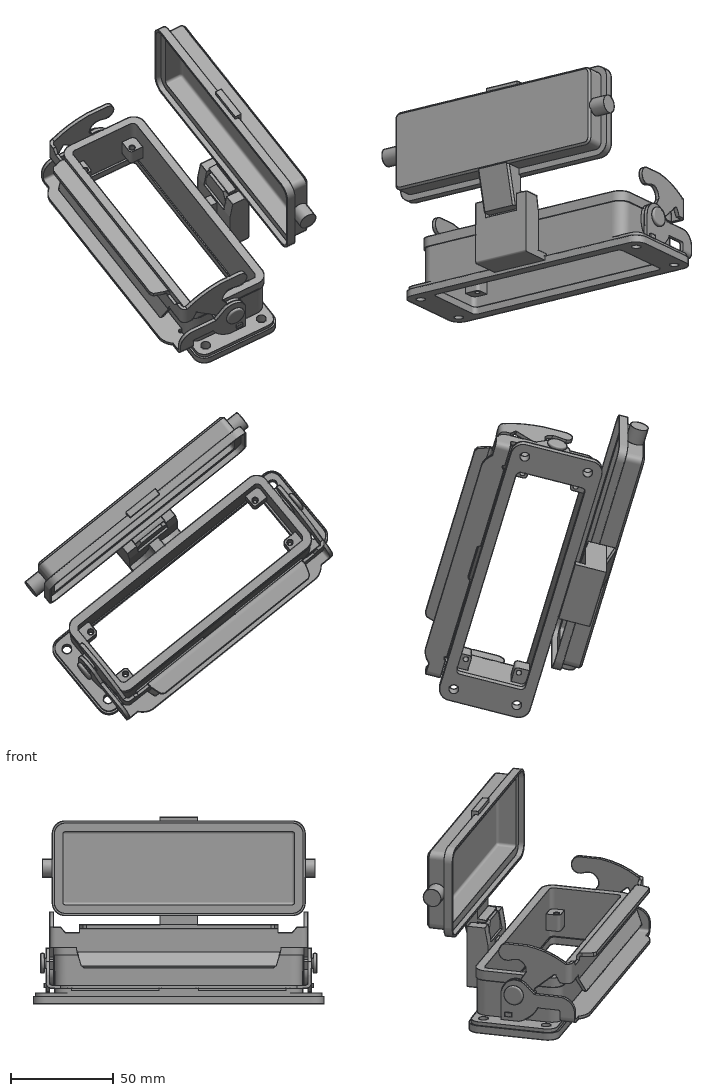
import cadquery as cq
import math


BASE_X = 142.5
BASE_Y = 45.9
BASE_CORNER = 6.0
BASE_TOP = 3.7
STEP_TOP = 5.5
STEP_INSET = 0.95
MOUNT_HOLE_DIA = 4.7
MOUNT_X = 64.9
MOUNT_Y = 16.0

BODY_X = 121.6
BODY_Y = 44.0
WALL_CORNER = 6.0
BODY_TOP = 29.0
COLLAR_BOTTOM = 23.9
COLLAR_OUTSET = 0.5
CAVITY_X = 114.8
CAVITY_Y = 36.3
CAVITY_CORNER = 2.3
FLOOR_OPENING_X = 112.6
FLOOR_OPENING_Y = 34.9

BOSS_INNER_X = 49.5
BOSS_INNER_Y = 11.0
BOSS_BOTTOM = 9.5
BOSS_TOP = 18.0
BOSS_CORNER = 1.6
SCREW_X = 51.9
SCREW_Y = 13.5
SCREW_DIA = 2.6
SCREW_MOUTH = 0.25

PIVOT_Z = 20.0
LUG_DIA = 8.0
PIN_NECK_DIA = 5.0
PIN_HEAD_DIA = 9.8
PIN_HEAD_INNER = 65.8
PIN_HEAD_OUTER = 67.7
PIN_HEAD_ROUND = 0.8

COLLAR_SIDE = BODY_X / 2 + COLLAR_OUTSET
UPPER_THICKNESS = 1.9
LEVER_JOINT = COLLAR_SIDE + UPPER_THICKNESS
HOOK_REACH = 8.75
HOOK_TOP = 45.1
UPPER_BEND = 3.0
BAND_FRONT = -28.2
BAND_THICKNESS = 1.55
BAND_BOTTOM = 27.6
BAND_TOP = 37.7
BAND_NOTCH_Z = 35.0
NOTCH_HALF = 57.9
NOTCH_SLOPE = 2.3
LIP_HALF = 48.7
LIP_FRONT = -35.95
LIP_BEND = 2.8
LIP_TOP = 38.85
LIP_BOTTOM = 36.9
FLAP_HALF = 50.2
FLAP_BEND_Z = 25.4
FLAP_REACH = -31.45
FLAP_BOTTOM = 17.7

LOWER_OUTER = 65.0
LOWER_THICKNESS = LOWER_OUTER - LEVER_JOINT
LOWER_BEND = 2.8
LEG_FRONT = -30.5
LEG_BACK = -23.15
HANDLE_FRONT = -34.2
HANDLE_HALF = 51.5
HANDLE_SHOULDER = 57.9
HANDLE_BOTTOM = 7.6
HANDLE_THICKNESS = 1.5
PIVOT_PLATE_RADIUS = 7.0
PIVOT_PLATE_BOTTOM = 5.9
LEVER_ARM_TOP = 20.8
LEVER_ARM_BOTTOM = 14.0
KNEE_TOP = 12.0
RIB_X = 105.0
RIB_BOTTOM = 6.6
RELIEF_X = 53.3
RELIEF_DIA = 2.2
SLOT_HALF = 9.7
SLOT_FRONT = -24.5
SLOT_CORNER = 1.2
NUB_Y = 3.15
NUB_Z = 9.1
NUB_LENGTH = 3.5
NUB_HEIGHT = 2.1
NUB_OUT = 0.9

COVER_Z = 66.5
COVER_FRONT = 32.9
COVER_STEP_Y = 37.15
COVER_BACK = 46.78
RIM_X = 124.0
RIM_Z = 46.4
RIM_CORNER = 6.3
RIM_LIP = 1.1
RIM_RECESS = 2.8
SHELL_X = 117.4
SHELL_Z = 40.2
SHELL_CORNER = 3.2
SHELL_BACK_CHAMFER = 1.05
COVER_CAVITY_X = 113.6
COVER_CAVITY_Z = 36.1
COVER_CAVITY_CORNER = 1.5
COVER_FLOOR = 45.4
COVER_FLOOR_ROUND = 1.4
TAB_WIDTH = 18.6
TAB_FRONT = 35.2
TAB_BACK = 38.6
TOTAL_HEIGHT = 91.5
COVER_PIN_DIA = 9.0
COVER_PIN_X = 66.8
COVER_PIN_Y = 41.75

HINGE_WIDTH = 30.2
HINGE_BACK = 39.4
HINGE_FRONT = 28.6
CHEEK_FRONT = 30.2
HINGE_TOP = 33.0
HINGE_BOTTOM = 1.35
HINGE_ROUND = 0.8
CHANNEL_FLOOR = 23.9
FOOT_TOP = 5.0
FOOT_FRONT = 23.5
NECK_WIDTH = 5.8
NECK_TOP = 22.6
NECK_FLARE = 8.2
ARM_WIDTH = TAB_WIDTH
ARM_BACK_CHAMFER = 1.0
ARM_FRONT = 35.75
ARM_TOP_Z = 47.5
ARM_FOOT_Z = 26.2
TONGUE_FRONT = 31.4
TONGUE_BACK = ARM_FRONT + 0.2
TONGUE_TOP = 35.1
TONGUE_BOTTOM = 33.5
PANEL_FRONT = 29.8
PANEL_TOP = 34.2
PANEL_TOP_WIDTH = 13.2
PANEL_TAPER_Z = 28.5


def box(x0, x1, y0, y1, z0, z1):
    return cq.Workplane("XY").box(x1 - x0, y1 - y0, z1 - z0, centered=False).translate((x0, y0, z0))


def rounded_block(size_x, size_y, corner, z0, z1):
    block = cq.Workplane("XY").workplane(offset=z0).rect(size_x, size_y).extrude(z1 - z0)
    return block.edges("|Z").fillet(corner)


def upright_block(size_x, size_z, corner, y0, y1):
    """Block centred on the cover, rounded in the XZ plane, from y0 to y1."""
    block = box(-size_x / 2, size_x / 2, y0, y1, COVER_Z - size_z / 2, COVER_Z + size_z / 2)
    return block.edges("|Y").fillet(corner)


def side_plane(x):
    """Sketch plane whose local axes are Y and Z."""
    return cq.Workplane("YZ").workplane(offset=x)


def x_cylinder(diameter, y, z, x0, x1):
    return side_plane(x0).center(y, z).circle(diameter / 2).extrude(x1 - x0)


def both_sides(shape):
    return shape.union(shape.mirror("YZ"))


def mirrored_outline(workplane, half):
    """Closed outline from its right half, mirrored about the local vertical axis."""
    left = [(-x, y) for x, y in reversed(half)]
    return workplane.polyline(half + left).close()


def housing():
    body = rounded_block(BASE_X, BASE_Y, BASE_CORNER, 0, BASE_TOP)
    step = rounded_block(
        BASE_X - 2 * STEP_INSET, BASE_Y - 2 * STEP_INSET, BASE_CORNER - STEP_INSET, BASE_TOP, STEP_TOP
    )
    walls = rounded_block(BODY_X, BODY_Y, WALL_CORNER, BASE_TOP, BODY_TOP)
    collar = rounded_block(
        BODY_X + 2 * COLLAR_OUTSET, BODY_Y + 2 * COLLAR_OUTSET, WALL_CORNER, COLLAR_BOTTOM, BODY_TOP
    )
    body = body.union(step).union(walls).union(collar)
    body = body.cut(rounded_block(CAVITY_X, CAVITY_Y, CAVITY_CORNER, BASE_TOP, BODY_TOP))
    body = body.cut(rounded_block(FLOOR_OPENING_X, FLOOR_OPENING_Y, CAVITY_CORNER, 0, BASE_TOP))
    mount_holes = (
        cq.Workplane("XY")
        .rect(2 * MOUNT_X, 2 * MOUNT_Y, forConstruction=True)
        .vertices()
        .circle(MOUNT_HOLE_DIA / 2)
        .extrude(STEP_TOP)
    )
    return body.cut(mount_holes).union(insert_bosses())


def insert_bosses():
    frame = rounded_block(CAVITY_X, CAVITY_Y, CAVITY_CORNER, BOSS_BOTTOM, BOSS_TOP)
    boss = box(BOSS_INNER_X, CAVITY_X / 2, BOSS_INNER_Y, CAVITY_Y / 2, BOSS_BOTTOM, BOSS_TOP)
    boss = boss.edges("|Z and <X and <Y").fillet(BOSS_CORNER).intersect(frame)
    hole = cq.Workplane("XY").workplane(offset=BOSS_BOTTOM).center(SCREW_X, SCREW_Y)
    boss = boss.cut(hole.circle(SCREW_DIA / 2).extrude(BOSS_TOP - BOSS_BOTTOM))
    mouth = cq.Workplane("XY").workplane(offset=BOSS_TOP - SCREW_MOUTH).center(SCREW_X, SCREW_Y)
    boss = boss.cut(mouth.circle(SCREW_DIA / 2 + SCREW_MOUTH).extrude(SCREW_MOUTH))
    pair = both_sides(boss)
    return pair.union(pair.mirror("XZ"))


def pivot_pin():
    head = x_cylinder(PIN_HEAD_DIA, 0, PIVOT_Z, PIN_HEAD_INNER, PIN_HEAD_OUTER).edges().fillet(PIN_HEAD_ROUND)
    lug = x_cylinder(LUG_DIA, 0, PIVOT_Z, BODY_X / 2, LEVER_JOINT)
    neck = x_cylinder(PIN_NECK_DIA, 0, PIVOT_Z, LEVER_JOINT, PIN_HEAD_INNER)
    return lug.union(neck).union(head)


def upper_lever():
    side = (
        side_plane(-LEVER_JOINT)
        .moveTo(-2.9, 26.4)
        .lineTo(-2.9, 28.0)
        .lineTo(-5.15, 31.25)
        .threePointArc((-4.3, 35.4), (-1.4, 37.5))
        .lineTo(0.85, 37.5)
        .lineTo(3.75, 36.6)
        .lineTo(5.65, 36.6)
        .threePointArc((HOOK_REACH, 40.6), (5.35, HOOK_TOP))
        .lineTo(-5.9, HOOK_TOP)
        .threePointArc((-16.2, 42.5), (-25.5, BAND_TOP))
        .lineTo(BAND_FRONT, BAND_TOP)
        .lineTo(BAND_FRONT, BAND_BOTTOM)
        .lineTo(-22.6, BAND_BOTTOM)
        .lineTo(-20.3, 31.6)
        .lineTo(-19.7, 31.6)
        .lineTo(-9.5, 23.0)
        .lineTo(-9.2, 21.9)
        .lineTo(-10.1, LEVER_ARM_TOP)
        .lineTo(-8.0, 17.0)
        .threePointArc((-0.6, 9.2), (6.9, 17.0))
        .lineTo(6.9, PIVOT_Z)
        .threePointArc((3.0, 26.2), (-2.9, 26.4))
        .close()
        .extrude(2 * LEVER_JOINT)
    )
    outer = box(-LEVER_JOINT, LEVER_JOINT, BAND_FRONT, HOOK_REACH, 0, HOOK_TOP)
    outer = outer.edges("|Z and <Y").fillet(UPPER_BEND)
    inner = box(-COLLAR_SIDE, COLLAR_SIDE, BAND_FRONT + BAND_THICKNESS, HOOK_REACH, 0, HOOK_TOP)
    inner = inner.edges("|Z and <Y").fillet(UPPER_BEND - BAND_THICKNESS)
    strap = side.intersect(outer.cut(inner))
    return strap.cut(band_notch()).union(band_lip()).union(band_flap())


def band_notch():
    """Trims the top of the cross band between the two end tabs."""
    top = LIP_TOP + 1
    half = [(NOTCH_HALF, top), (NOTCH_HALF, BAND_TOP), (NOTCH_HALF - NOTCH_SLOPE, BAND_NOTCH_Z)]
    plane = cq.Workplane("XZ", origin=(0, BAND_FRONT + 2 * BAND_THICKNESS, 0))
    return mirrored_outline(plane, half).extrude(2 * BAND_THICKNESS)


def band_lip():
    """Finger lip bent outward from the top of the cross band."""
    back = BAND_FRONT + BAND_THICKNESS
    bend_mid = LIP_BEND * (1 - math.sqrt(0.5))
    strip = (
        side_plane(-LIP_HALF)
        .moveTo(back, BAND_NOTCH_Z)
        .lineTo(back, LIP_TOP - LIP_BEND)
        .threePointArc((back - bend_mid, LIP_TOP - bend_mid), (back - LIP_BEND, LIP_TOP))
        .lineTo(LIP_FRONT, LIP_TOP)
        .lineTo(LIP_FRONT, LIP_BOTTOM)
        .lineTo(back - LIP_BEND, LIP_BOTTOM)
        .threePointArc((BAND_FRONT - 0.2, LIP_BOTTOM - 0.2), (BAND_FRONT, LIP_BOTTOM - 0.7))
        .lineTo(BAND_FRONT, BAND_NOTCH_Z)
        .close()
        .extrude(2 * LIP_HALF)
    )
    half = [(LIP_HALF, back), (LIP_HALF, back - LIP_BEND), (46.9, -34.9), (45.2, LIP_FRONT)]
    plan = mirrored_outline(cq.Workplane("XY").workplane(offset=BAND_NOTCH_Z), half)
    return strip.intersect(plan.extrude(LIP_TOP - BAND_NOTCH_Z))


def band_flap():
    """Flap hanging from the cross band and leaning outward."""
    back = BAND_FRONT + BAND_THICKNESS
    strip = (
        side_plane(-FLAP_HALF)
        .polyline(
            [
                (back, BAND_BOTTOM),
                (BAND_FRONT, BAND_BOTTOM),
                (BAND_FRONT, FLAP_BEND_Z),
                (FLAP_REACH, FLAP_BOTTOM + 0.8),
                (FLAP_REACH + 1.15, FLAP_BOTTOM),
                (back, FLAP_BEND_Z - 0.4),
            ]
        )
        .close()
        .extrude(2 * FLAP_HALF)
    )
    half = [(FLAP_HALF, BAND_BOTTOM), (49.8, FLAP_BEND_Z), (47.8, 18.8), (46.3, FLAP_BOTTOM)]
    front = mirrored_outline(cq.Workplane("XZ", origin=(0, back, 0)), half)
    return strip.intersect(front.extrude(back - FLAP_REACH))


def lower_lever():
    return both_sides(lower_side_plate()).union(lower_bends()).union(handle()).cut(handle_cutouts())


def lower_side_plate():
    radius = PIVOT_PLATE_RADIUS
    plate = (
        side_plane(LEVER_JOINT)
        .moveTo(radius, PIVOT_PLATE_BOTTOM)
        .lineTo(radius, PIVOT_Z)
        .threePointArc((2.0, PIVOT_Z + 6.9), (-4.7, 26.0))
        .lineTo(-10.1, LEVER_ARM_TOP)
        .lineTo(-23.3, LEVER_ARM_TOP)
        .threePointArc((-28.6, 18.3), (LEG_FRONT, LEVER_ARM_BOTTOM))
        .lineTo(LEG_FRONT, KNEE_TOP)
        .lineTo(LEG_BACK, KNEE_TOP)
        .lineTo(LEG_BACK, LEVER_ARM_BOTTOM - 1)
        .threePointArc((LEG_BACK + 0.3, LEVER_ARM_BOTTOM - 0.3), (LEG_BACK + 1, LEVER_ARM_BOTTOM))
        .lineTo(-11.7, LEVER_ARM_BOTTOM)
        .threePointArc((-7.8, 8.9), (-2.0, PIVOT_PLATE_BOTTOM))
        .close()
        .extrude(LOWER_THICKNESS)
    )
    nub = box(
        LOWER_OUTER,
        LOWER_OUTER + NUB_OUT,
        NUB_Y - NUB_LENGTH / 2,
        NUB_Y + NUB_LENGTH / 2,
        NUB_Z - NUB_HEIGHT / 2,
        NUB_Z + NUB_HEIGHT / 2,
    )
    return plate.union(nub)


def lower_bends():
    """U-shaped strip that turns the side plates into the handle."""
    outer = box(-LOWER_OUTER, LOWER_OUTER, LEG_FRONT, LEG_BACK, HANDLE_BOTTOM, KNEE_TOP)
    outer = outer.edges("|Y and <Z").fillet(LOWER_BEND)
    inner_z = HANDLE_BOTTOM + HANDLE_THICKNESS
    inner = box(-LEVER_JOINT, LEVER_JOINT, LEG_FRONT, LEG_BACK, inner_z, KNEE_TOP)
    return outer.cut(inner.edges("|Y and <Z").fillet(LOWER_BEND - HANDLE_THICKNESS))


def handle():
    side = LOWER_OUTER - LOWER_BEND
    plate = (
        cq.Workplane("XY")
        .workplane(offset=HANDLE_BOTTOM)
        .moveTo(side, LEG_BACK)
        .lineTo(side, LEG_FRONT)
        .lineTo(HANDLE_SHOULDER, LEG_FRONT)
        .threePointArc((55.2, -32.9), (HANDLE_HALF, HANDLE_FRONT))
        .lineTo(-HANDLE_HALF, HANDLE_FRONT)
        .threePointArc((-55.2, -32.9), (-HANDLE_SHOULDER, LEG_FRONT))
        .lineTo(-side, LEG_FRONT)
        .lineTo(-side, LEG_BACK)
        .close()
        .extrude(HANDLE_THICKNESS)
    )
    rib = box(-RIB_X / 2, RIB_X / 2, LEG_BACK, -BODY_Y / 2, RIB_BOTTOM, HANDLE_BOTTOM + HANDLE_THICKNESS)
    return plate.union(rib)


def handle_cutouts():
    """Central slot and two small relief holes along the back edge of the handle."""
    wall = -BODY_Y / 2
    top = HANDLE_BOTTOM + HANDLE_THICKNESS
    slot_half = [
        (SLOT_HALF, wall),
        (SLOT_HALF, SLOT_FRONT + SLOT_CORNER),
        (SLOT_HALF - SLOT_CORNER, SLOT_FRONT),
    ]
    slot = mirrored_outline(cq.Workplane("XY").workplane(offset=RIB_BOTTOM), slot_half)
    slot = slot.extrude(top - RIB_BOTTOM)
    relief = (
        cq.Workplane("XY")
        .workplane(offset=HANDLE_BOTTOM)
        .pushPoints([(RELIEF_X, LEG_BACK), (-RELIEF_X, LEG_BACK)])
        .circle(RELIEF_DIA / 2)
        .extrude(HANDLE_THICKNESS)
    )
    return slot.union(relief)


def cover():
    rim = upright_block(RIM_X, RIM_Z, RIM_CORNER, COVER_FRONT, COVER_STEP_Y)
    shell = upright_block(SHELL_X, SHELL_Z, SHELL_CORNER, COVER_STEP_Y, COVER_BACK)
    shell = shell.faces(">Y").chamfer(SHELL_BACK_CHAMFER)
    recess_floor = COVER_FRONT + RIM_RECESS
    recess = upright_block(
        RIM_X - 2 * RIM_LIP, RIM_Z - 2 * RIM_LIP, RIM_CORNER - RIM_LIP, COVER_FRONT, recess_floor
    )
    cavity = upright_block(COVER_CAVITY_X, COVER_CAVITY_Z, COVER_CAVITY_CORNER, recess_floor, COVER_FLOOR)
    cavity = cavity.faces(">Y").edges().fillet(COVER_FLOOR_ROUND)
    shell_top = COVER_Z + SHELL_Z / 2
    tab = box(-TAB_WIDTH / 2, TAB_WIDTH / 2, TAB_FRONT, TAB_BACK, shell_top, TOTAL_HEIGHT)
    pins = both_sides(x_cylinder(COVER_PIN_DIA, COVER_PIN_Y, COVER_Z, COVER_CAVITY_X / 2 + 0.5, COVER_PIN_X))
    return rim.union(shell).union(tab).union(pins).cut(recess).cut(cavity)


def hinge_block():
    block = (
        side_plane(-HINGE_WIDTH / 2)
        .polyline(
            [
                (HINGE_BACK, HINGE_BOTTOM),
                (HINGE_BACK, HINGE_TOP),
                (CHEEK_FRONT, HINGE_TOP),
                (HINGE_FRONT, CHANNEL_FLOOR),
                (HINGE_FRONT, FOOT_TOP),
                (BODY_Y / 2, FOOT_TOP),
                (BODY_Y / 2, BASE_TOP),
                (FOOT_FRONT, BASE_TOP),
                (FOOT_FRONT, HINGE_BOTTOM),
            ]
        )
        .close()
        .extrude(HINGE_WIDTH)
    )
    block = block.edges("|X and >Y").fillet(HINGE_ROUND)
    half = ARM_WIDTH / 2
    channel = box(-half, half, HINGE_FRONT, HINGE_BACK, CHANNEL_FLOOR, HINGE_TOP)
    return block.cut(channel).union(hinge_neck())


def hinge_neck():
    """Web from the housing wall to the hinge block, flared at its foot by two round coves."""
    half = NECK_WIDTH / 2
    flare_top = FOOT_TOP + NECK_FLARE
    flare_end = half + NECK_FLARE
    mid = NECK_FLARE * (1 - math.sqrt(0.5))
    return (
        cq.Workplane("XZ", origin=(0, HINGE_FRONT, 0))
        .moveTo(-flare_end, FOOT_TOP)
        .threePointArc((-half - mid, FOOT_TOP + mid), (-half, flare_top))
        .lineTo(-half, NECK_TOP)
        .lineTo(half, NECK_TOP)
        .lineTo(half, flare_top)
        .threePointArc((half + mid, FOOT_TOP + mid), (flare_end, FOOT_TOP))
        .close()
        .extrude(HINGE_FRONT - BODY_Y / 2)
    )


def hinge_arm():
    """Arm below the cover, with a tongue and a hanging panel between the hinge cheeks."""
    arm = (
        side_plane(-ARM_WIDTH / 2)
        .polyline([(46.5, ARM_TOP_Z), (41.2, ARM_FOOT_Z), (ARM_FRONT, ARM_FOOT_Z), (ARM_FRONT, ARM_TOP_Z)])
        .close()
        .extrude(ARM_WIDTH)
    )
    arm = arm.faces(">Y").edges("not |X").chamfer(ARM_BACK_CHAMFER)
    tongue = (
        side_plane(-ARM_WIDTH / 2)
        .polyline(
            [
                (TONGUE_BACK, TONGUE_TOP),
                (32.6, TONGUE_TOP - 0.2),
                (TONGUE_FRONT, TONGUE_TOP - 0.5),
                (TONGUE_FRONT, TONGUE_BOTTOM),
                (TONGUE_BACK, TONGUE_BOTTOM),
            ]
        )
        .close()
        .extrude(ARM_WIDTH)
    )
    panel_half = [
        (ARM_WIDTH / 2, CHANNEL_FLOOR),
        (ARM_WIDTH / 2, PANEL_TAPER_Z),
        (PANEL_TOP_WIDTH / 2, PANEL_TOP),
    ]
    panel = mirrored_outline(cq.Workplane("XZ", origin=(0, TONGUE_BACK, 0)), panel_half)
    panel = panel.extrude(TONGUE_BACK - PANEL_FRONT)
    return arm.union(tongue).union(panel)


result = (
    housing()
    .union(both_sides(pivot_pin()))
    .union(upper_lever())
    .union(lower_lever())
    .union(hinge_block())
    .union(cover())
    .union(hinge_arm())
)